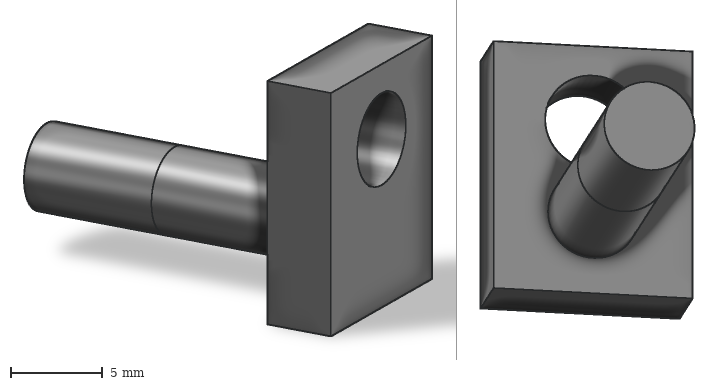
import cadquery as cq

total_length = 21.0
plate_thickness = 4.0
plate_width = 11.0
plate_height = 14.0

pin_diameter = 5.0
tip_length = 8.0
pin_height = 4.5

hole_diameter = 5.3
hole_height = 9.7

plate_face_x = total_length - plate_thickness
shank_length = plate_face_x - tip_length


def cylinder_along_x(diameter, length, start_x, axis_height):
    """Cylinder running toward +X from start_x, centred on Y = 0."""
    return (
        cq.Workplane("YZ", origin=(start_x, 0, axis_height))
        .circle(diameter / 2)
        .extrude(length)
    )


def make_holder():
    """Rectangular plate with a through hole and an integral round shank."""
    plate = cq.Workplane("XY", origin=(plate_face_x, 0, 0)).box(
        plate_thickness, plate_width, plate_height, centered=(False, True, False)
    )
    hole = cylinder_along_x(hole_diameter, plate_thickness, plate_face_x, hole_height)
    shank = cylinder_along_x(pin_diameter, shank_length, tip_length, pin_height)
    return plate.cut(hole).union(shank).solids()


def make_tip():
    """Plain round tip that butts against the end of the shank."""
    return cylinder_along_x(pin_diameter, tip_length, 0, pin_height)


holder = make_holder()
tip = make_tip()

result = cq.Compound.makeCompound([holder.val(), tip.val()])